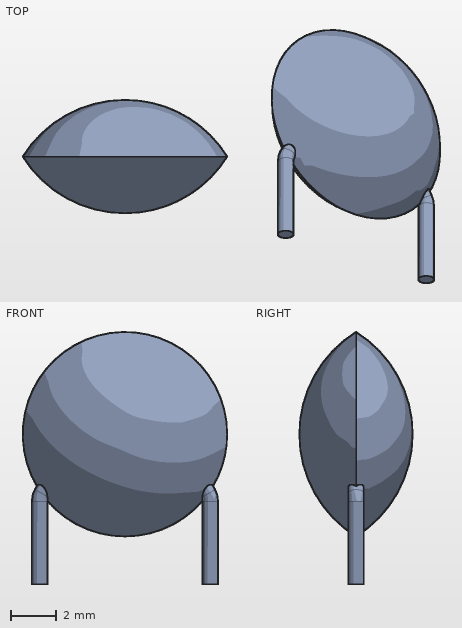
import cadquery as cq
import math

total_height = 11.1
body_diameter = 9.0
body_thickness = 5.0
lead_diameter = 0.7
lead_spacing = 7.5
lead_straight_length = 3.65
bend_radius = 0.7
bend_angle = math.radians(30)
buried_length = 1.11

body_radius = body_diameter / 2
body_center_z = total_height - body_radius


def make_body():
    """Lens bounded by two equal spherical caps, revolved about the Y axis."""
    half_thickness = body_thickness / 2
    profile = (
        cq.Workplane("XY")
        .moveTo(0, -half_thickness)
        .lineTo(0, half_thickness)
        .radiusArc((body_radius, 0), cap_radius(half_thickness))
        .radiusArc((0, -half_thickness), cap_radius(half_thickness))
        .close()
    )
    lens = profile.revolve(360, (0, 0, 0), (0, 1, 0))
    return lens.translate((0, 0, body_center_z))


def cap_radius(cap_height):
    """Radius of the sphere whose cap has the given height and the body's rim."""
    return (body_radius**2 + cap_height**2) / (2 * cap_height)


def make_left_lead():
    """Round wire rising vertically, then bending inward to the body."""
    lead_x = -lead_spacing / 2
    bend_center_x = lead_x + bend_radius

    def bend_point(angle):
        x = bend_center_x - bend_radius * math.cos(angle)
        z = lead_straight_length + bend_radius * math.sin(angle)
        return x, z

    bend_end_x, bend_end_z = bend_point(bend_angle)
    inner_end = (
        bend_end_x + buried_length * math.sin(bend_angle),
        bend_end_z + buried_length * math.cos(bend_angle),
    )
    path = (
        cq.Workplane("XZ")
        .moveTo(lead_x, 0)
        .lineTo(lead_x, lead_straight_length)
        .threePointArc(bend_point(bend_angle / 2), (bend_end_x, bend_end_z))
        .lineTo(*inner_end)
    )
    return cq.Workplane("XY").center(lead_x, 0).circle(lead_diameter / 2).sweep(path)


left_lead = make_left_lead()
right_lead = left_lead.mirror("YZ")
result = make_body().union(left_lead).union(right_lead)